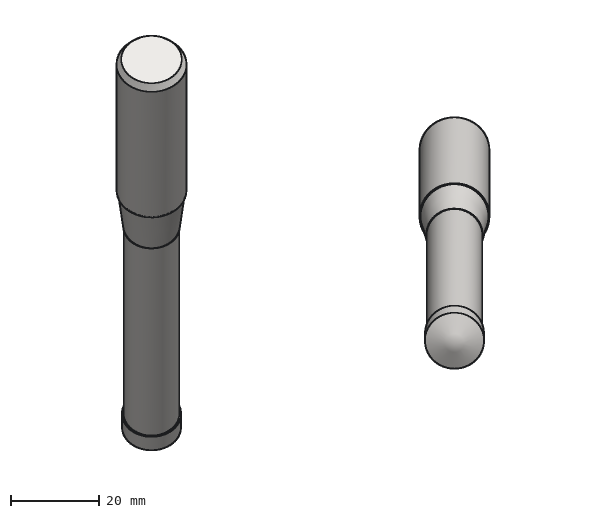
import cadquery as cq

total_length = 137.5
shank_diameter = 16.0
neck_diameter = 12.6
tip_diameter = 13.5

point_height = 2.3
tip_land_length = 5.0
neck_bottom = point_height + tip_land_length
neck_top = 76.1
shank_bottom = 89.5

chamfer_width = 1.1
chamfer_height = 1.8

taper_shoulder = 0.3

neck_shoulder = 0.1

shank_radius = shank_diameter / 2
neck_radius = neck_diameter / 2
tip_radius = tip_diameter / 2


def revolve_profile(points):
    """Revolve a closed (radius, height) outline around the Z axis."""
    outline = cq.Workplane("XZ").polyline(points).close()
    return outline.revolve(360, (0, 0, 0), (0, 1, 0))


def make_tool_body():
    """Chamfered shank that tapers down to a straight neck."""
    return revolve_profile([
        (0, neck_bottom),
        (neck_radius, neck_bottom),
        (neck_radius, neck_top),
        (neck_radius + neck_shoulder, neck_top),
        (shank_radius - taper_shoulder, shank_bottom),
        (shank_radius, shank_bottom),
        (shank_radius, total_length - chamfer_height),
        (shank_radius - chamfer_width, total_length),
        (0, total_length),
    ])


def make_cutting_tip():
    """Short cylindrical land with a conical point below it."""
    return revolve_profile([
        (0, 0),
        (tip_radius, point_height),
        (tip_radius, neck_bottom),
        (0, neck_bottom),
    ])


tool_body = make_tool_body()
cutting_tip = make_cutting_tip()

result = cq.Compound.makeCompound([tool_body.val(), cutting_tip.val()])